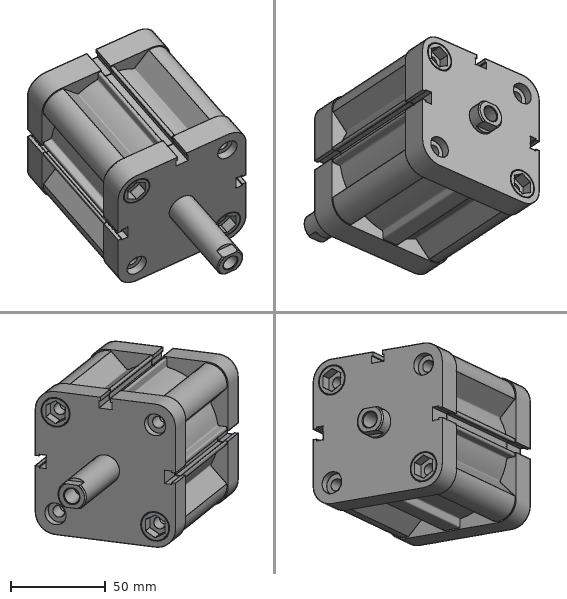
import cadquery as cq
import math

ROD_LENGTH = 146.0
ROD_DIAMETER = 16.0
ROD_CHAMFER = 0.7

FLAT_SPACING = 13.0
FLAT_LENGTH = 6.4
FLAT_RUNOUT_ANGLE = 15.0

THREAD_HOLE_DIAMETER = 8.5
THREAD_HOLE_DEPTH = 14.6
COUNTERSINK_DIAMETER = 9.3
DRILL_POINT_ANGLE = 118.0

REAR_CAP_X = 8.2
CAP_THICKNESS = 14.5
BARREL_LENGTH = 60.9
CAP_WIDTH = 79.5
BOLT_PITCH = 56.5
BOLT_HOLE_DIAMETER = 6.5

COUNTERBORE_DIAMETER = 12.0
COUNTERBORE_DEPTH = 4.7
HEX_ACROSS_FLATS = 11.0
HEX_DEPTH = 6.3
RING_GROOVE_OUTER = 16.4
RING_GROOVE_INNER = 15.5
RING_GROOVE_DEPTH = COUNTERBORE_DEPTH

SLOT_ANGLES = (0, 90, -90)
SLOT_MOUTH = 5.7
SLOT_MOUTH_DEPTH = 2.2
CAP_SLOT_WIDTH = 7.5
CAP_SLOT_DEPTH = 6.1
BARREL_SLOT_WIDTH = 6.9
BARREL_SLOT_DEPTH = 5.7

BARREL_INSET = 0.7
BARREL_CORE_RADIUS = 34.5
WEB_WIDTH = 17.4
RAIL_WIDTH = 10.2
BARREL_FILLET = 0.9
MOUTH_FILLET = 0.5

CAP_HALF = CAP_WIDTH / 2
BOLT_OFFSET = BOLT_PITCH / 2
CORNER_RADIUS = CAP_HALF - BOLT_OFFSET
BARREL_HALF = CAP_HALF - BARREL_INSET
BARREL_X = REAR_CAP_X + CAP_THICKNESS
FRONT_CAP_X = BARREL_X + BARREL_LENGTH
ROD_RADIUS = ROD_DIAMETER / 2
BARREL_CORNER_RADIUS = BARREL_HALF - BOLT_OFFSET
BOLT_DISTANCE = BOLT_OFFSET * math.sqrt(2)
SIDE_ANGLES = (0, 90, 180, 270)
CORNER_ANGLES = (45, 135, 225, 315)


def x_prism(sketch, x_start, length):
    """Extrude along +X the outline that `sketch` draws on a plane with local axes Y and Z."""
    return sketch(cq.Workplane("YZ", origin=(x_start, 0, 0))).extrude(length)


def x_cylinder(diameter, x_start, length, y=0.0, z=0.0):
    return x_prism(lambda plane: plane.center(y, z).circle(diameter / 2), x_start, length)


def about_x(shape, angle):
    return shape.rotate((0, 0, 0), (1, 0, 0), angle)


def turned_end_for_end(shape, x_middle):
    return shape.rotate((x_middle, 0, 0), (x_middle, 0, 1), 180)


def t_slot(x_start, length, width, depth):
    """T-slot cutter in the +Z side."""
    step_z = CAP_HALF - SLOT_MOUTH_DEPTH
    floor_z = CAP_HALF - depth
    mouth = x_prism(
        lambda plane: plane.center(0, (CAP_HALF + floor_z) / 2).rect(SLOT_MOUTH, depth), x_start, length
    )
    chamber = x_prism(
        lambda plane: plane.center(0, (step_z + floor_z) / 2).rect(width, step_z - floor_z), x_start, length
    )
    return mouth.union(chamber)


def bolt_holes(x_start, length):
    return x_prism(
        lambda plane: plane.rect(BOLT_PITCH, BOLT_PITCH, forConstruction=True)
        .vertices()
        .circle(BOLT_HOLE_DIAMETER / 2),
        x_start,
        length,
    )


def hex_recess(x_start, y, z):
    """Hexagon socket, corners up and down, inside a thin ring groove."""
    corner_diameter = HEX_ACROSS_FLATS / math.cos(math.pi / 6)
    socket = x_prism(
        lambda plane: plane.center(y, z).transformed(rotate=(0, 0, 90)).polygon(6, corner_diameter),
        x_start,
        HEX_DEPTH,
    )
    groove = x_cylinder(RING_GROOVE_OUTER, x_start, RING_GROOVE_DEPTH, y, z)
    groove = groove.cut(x_cylinder(RING_GROOVE_INNER, x_start, RING_GROOVE_DEPTH, y, z))
    return socket.union(groove)


def make_end_cap(x_start):
    cap = x_prism(lambda plane: plane.rect(CAP_WIDTH, CAP_WIDTH), x_start, CAP_THICKNESS)
    cap = cap.edges("|X").fillet(CORNER_RADIUS)
    for angle in SLOT_ANGLES:
        slot = t_slot(x_start, CAP_THICKNESS, CAP_SLOT_WIDTH, CAP_SLOT_DEPTH)
        cap = cap.cut(about_x(slot, angle))
    cap = cap.cut(bolt_holes(x_start, CAP_THICKNESS))
    for side in (1, -1):
        y = side * BOLT_OFFSET
        cap = cap.cut(hex_recess(x_start, y, y))
        cap = cap.cut(x_cylinder(COUNTERBORE_DIAMETER, x_start, COUNTERBORE_DEPTH, -y, y))
    return cap.cut(x_cylinder(ROD_DIAMETER, x_start, CAP_THICKNESS))


def core_height(y):
    """Height of the core's round surface at `y` from its middle."""
    return math.sqrt(BARREL_CORE_RADIUS**2 - y**2)


def diagonal_web(angle):
    """Web from the rod axis to a corner; its end is an arc about the corner's bolt hole."""
    side_y = WEB_WIDTH / 2
    side_z = BOLT_DISTANCE + math.sqrt(BARREL_CORNER_RADIUS**2 - side_y**2)
    web = x_prism(
        lambda plane: plane.moveTo(-side_y, 0)
        .lineTo(-side_y, side_z)
        .threePointArc((0, BOLT_DISTANCE + BARREL_CORNER_RADIUS), (side_y, side_z))
        .lineTo(side_y, 0)
        .close(),
        BARREL_X,
        BARREL_LENGTH,
    )
    return about_x(web, angle)


def slot_rail(angle):
    """Raised flat-topped rail along the middle of one side."""
    rail = x_prism(
        lambda plane: plane.center(0, BARREL_HALF / 2).rect(RAIL_WIDTH, BARREL_HALF), BARREL_X, BARREL_LENGTH
    )
    return about_x(rail, angle)


def fillet_long_edges(barrel, y, z, angles, radius):
    """Fillet the lengthwise edges at (y, z) and (-y, z), after turning both by each of the angles."""
    x_middle = BARREL_X + BARREL_LENGTH / 2
    chosen = barrel.newObject([])
    for angle in angles:
        for side in (1, -1):
            point = about_x(cq.Vertex.makeVertex(x_middle, side * y, z), angle).toTuple()
            chosen = chosen.add(barrel.edges(cq.selectors.NearestToPointSelector(point)))
    return chosen.fillet(radius)


def make_barrel():
    barrel = x_cylinder(2 * BARREL_CORE_RADIUS, BARREL_X, BARREL_LENGTH)
    for angle in CORNER_ANGLES:
        barrel = barrel.union(diagonal_web(angle))
    for angle in SIDE_ANGLES:
        barrel = barrel.union(slot_rail(angle))

    web_y = WEB_WIDTH / 2
    rail_y = RAIL_WIDTH / 2
    barrel = fillet_long_edges(barrel, web_y, core_height(web_y), CORNER_ANGLES, BARREL_FILLET)
    barrel = fillet_long_edges(barrel, rail_y, core_height(rail_y), SIDE_ANGLES, BARREL_FILLET)
    barrel = fillet_long_edges(barrel, rail_y, BARREL_HALF, SIDE_ANGLES, BARREL_FILLET)

    for angle in SLOT_ANGLES:
        slot = t_slot(BARREL_X, BARREL_LENGTH, BARREL_SLOT_WIDTH, BARREL_SLOT_DEPTH)
        barrel = barrel.cut(about_x(slot, angle))
    barrel = fillet_long_edges(barrel, SLOT_MOUTH / 2, BARREL_HALF, SLOT_ANGLES, MOUTH_FILLET)
    barrel = barrel.cut(bolt_holes(BARREL_X, BARREL_LENGTH))
    return barrel.cut(x_cylinder(ROD_DIAMETER, BARREL_X, BARREL_LENGTH))


def wrench_flats():
    """Cutters for the two flats at the rear end, each with a leaning end wall."""
    flat_z = FLAT_SPACING / 2
    runout = (ROD_RADIUS - flat_z) * math.tan(math.radians(FLAT_RUNOUT_ANGLE))
    upper = (
        cq.Workplane("XZ")
        .moveTo(0, flat_z)
        .lineTo(FLAT_LENGTH - runout, flat_z)
        .lineTo(FLAT_LENGTH, ROD_RADIUS)
        .lineTo(0, ROD_RADIUS)
        .close()
        .extrude(ROD_RADIUS, both=True)
    )
    return upper.union(about_x(upper, 180))


def thread_hole():
    """Blind hole in the rear end, with a countersink and a drill point."""
    hole_radius = THREAD_HOLE_DIAMETER / 2
    countersink_radius = COUNTERSINK_DIAMETER / 2
    countersink_depth = countersink_radius - hole_radius
    point_length = hole_radius / math.tan(math.radians(DRILL_POINT_ANGLE / 2))
    return (
        cq.Workplane("XZ")
        .lineTo(0, countersink_radius)
        .lineTo(countersink_depth, hole_radius)
        .lineTo(THREAD_HOLE_DEPTH, hole_radius)
        .lineTo(THREAD_HOLE_DEPTH + point_length, 0)
        .close()
        .revolve(360, (0, 0, 0), (1, 0, 0))
    )


def make_rod():
    rod = x_cylinder(ROD_DIAMETER, 0, ROD_LENGTH).faces("<X or >X").chamfer(ROD_CHAMFER)
    end_cut = wrench_flats().union(thread_hole())
    return rod.cut(end_cut).cut(turned_end_for_end(end_cut, ROD_LENGTH / 2))


rear_cap = make_end_cap(REAR_CAP_X)
front_cap = turned_end_for_end(make_end_cap(FRONT_CAP_X), FRONT_CAP_X + CAP_THICKNESS / 2)
barrel = make_barrel()
rod = make_rod()

result = cq.Compound.makeCompound([rear_cap.val(), front_cap.val(), barrel.val(), rod.val()])